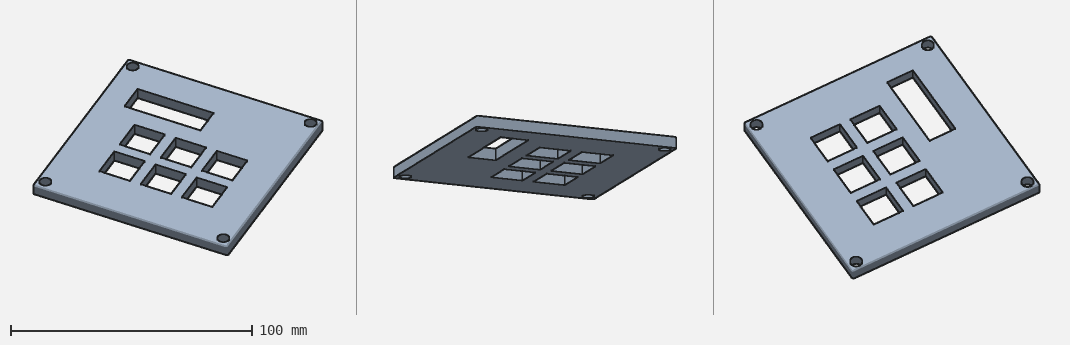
import cadquery as cq

side = 90.0
thickness = 5.0
edge_radius = 1.0

hole_diameter = 5.0
hole_inset = 4.0
hole_spacing = side - 2 * hole_inset

key_size = 14.0
key_pitch = 19.0
key_columns = 3
key_rows = 2
key_grid_x = 2.1
key_grid_y = -8.55

window_length = 35.0
window_width = 12.3
window_x = -15.4
window_y = 22.95


def make_plate():
    """Square plate with rounded corners and a rounded top edge."""
    plate = cq.Workplane("XY").box(side, side, thickness, centered=(True, True, False))
    return plate.edges("|Z or >Z").fillet(edge_radius)


def cut_mounting_holes(body):
    """Through hole near each corner."""
    holes = body.faces(">Z").workplane(origin=(0, 0, thickness))
    return holes.rect(hole_spacing, hole_spacing, forConstruction=True).vertices().hole(hole_diameter)


def cut_key_openings(body):
    """Square through openings on a regular grid."""
    openings = (
        cq.Workplane("XY", origin=(key_grid_x, key_grid_y, 0))
        .rarray(key_pitch, key_pitch, key_columns, key_rows)
        .rect(key_size, key_size)
        .extrude(thickness)
    )
    return body.cut(openings)


def cut_display_window(body):
    """Rectangular through opening above the keys."""
    window = (
        cq.Workplane("XY", origin=(window_x, window_y, 0))
        .rect(window_length, window_width)
        .extrude(thickness)
    )
    return body.cut(window)


result = make_plate()
result = cut_mounting_holes(result)
result = cut_key_openings(result)
result = cut_display_window(result)